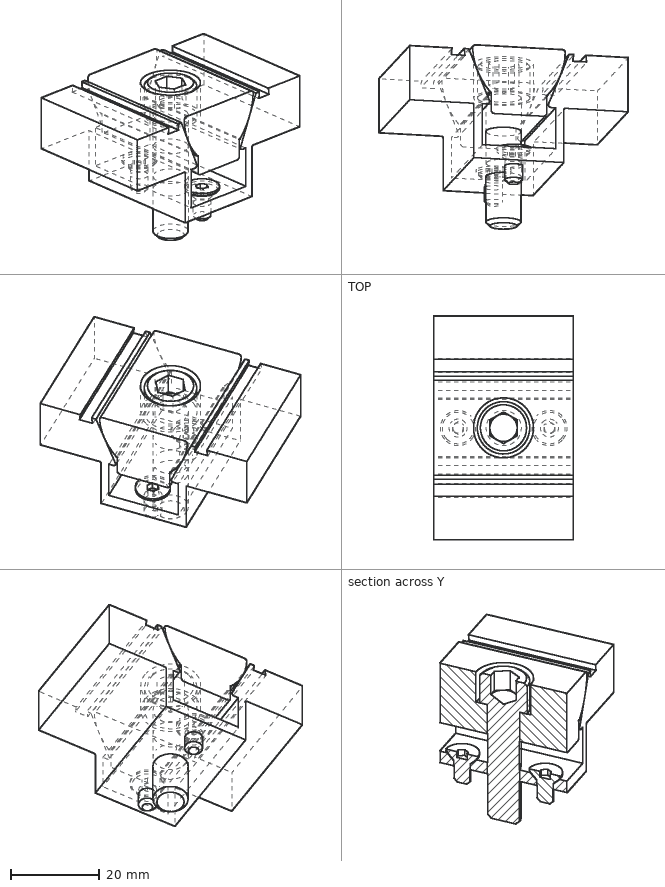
import cadquery as cq
import math

length = 31.75
base_width = 50.8
base_top = 25.4

jaw_bottom = base_top / 2
channel_half_width = 10.45
channel_wall = 1.95
floor_thickness = 3.15
outer_corner_radius = 0.35
jaw_angle = math.radians(22)
jaw_mouth_half_width = 11.7
jaw_tip_radius = 0.6
slot_inner = 12.75
slot_outer = 15.55
slot_undercut = 0.2
slot_depth = 1.6

wedge_top = 26.4
wedge_bottom = 10.55
flank_radius = 16.25
flank_contact_height = 20.3
flank_end_half_width = 6.7
stem_half_width = 6.45
ledge_height = 15.5
wedge_edge_radius = 0.75
counterbore_diameter = 13.6

screw_bottom = -11.55
screw_diameter = 8.0
screw_tip_chamfer = 0.9
head_diameter = 11.9
head_height = 8.0
head_chamfer = 0.7
socket_flats = 6.2
socket_depth = 5.1
drill_point_half_angle = math.radians(60)

fixing_offset = 10.35
fixing_diameter = 4.05
fixing_bottom = -4.05
fixing_tip_chamfer = 0.85
fixing_head_diameter = 8.0
fixing_head_top = 4.05
fixing_rim_height = 0.5
fixing_socket_flats = 2.5
fixing_socket_depth = 1.5


def jaw_face_y(z):
    """Half width of the opening between the sloping jaw faces at height z."""
    return jaw_mouth_half_width - (base_top - z) * math.tan(jaw_angle)


def extrude_along_x(outline):
    """Extrude a closed (y, z) outline over the full length, centred on X = 0."""
    return outline.extrude(length / 2, both=True)


def edges_at(body, y, z):
    """Select the long edges through (+-y, z)."""
    reach = 0.05
    selector = None
    for side in (-1, 1):
        low = (-length, side * y - reach, z - reach)
        high = (length, side * y + reach, z + reach)
        box = cq.selectors.BoxSelector(low, high, boundingbox=False)
        selector = box if selector is None else selector + box
    return body.edges("|X").edges(selector)


def fixing_positions():
    return [(-fixing_offset, 0), (fixing_offset, 0)]


def upright_cylinder(diameter, bottom, top):
    """Cylinder on the Z axis between two heights."""
    return cq.Workplane("XY").workplane(offset=bottom).circle(diameter / 2).extrude(top - bottom)


def hex_socket(flats, top, depth):
    """Hexagonal prism with two corners pointing along Y."""
    across_corners = flats / math.cos(math.pi / 6)
    return (
        cq.Workplane("XY")
        .workplane(offset=top - depth)
        .transformed(rotate=(0, 0, 90))
        .polygon(6, across_corners)
        .extrude(depth)
    )


def make_base():
    inner = channel_half_width - channel_wall
    half = [
        (channel_half_width, 0),
        (channel_half_width, jaw_bottom),
        (base_width / 2, jaw_bottom),
        (base_width / 2, base_top),
        (slot_outer, base_top),
        (slot_outer + slot_undercut, base_top - slot_depth),
        (slot_inner - slot_undercut, base_top - slot_depth),
        (slot_inner, base_top),
        (jaw_mouth_half_width, base_top),
        (jaw_face_y(jaw_bottom), jaw_bottom),
        (inner, jaw_bottom),
        (inner, floor_thickness),
    ]
    mirrored = [(-y, z) for y, z in reversed(half)]
    base = extrude_along_x(cq.Workplane("YZ").polyline(half + mirrored).close())
    base = edges_at(base, jaw_face_y(jaw_bottom), jaw_bottom).fillet(jaw_tip_radius)
    base = edges_at(base, channel_half_width, jaw_bottom).fillet(outer_corner_radius)
    base = base.cut(upright_cylinder(screw_diameter, 0, floor_thickness))
    for x, y in fixing_positions():
        base = base.cut(fixing_profile().translate((x, y, 0)))
    return base


def make_wedge():
    centre_y = jaw_face_y(flank_contact_height) - flank_radius * math.cos(jaw_angle)
    centre_z = flank_contact_height + flank_radius * math.sin(jaw_angle)
    top_half_width = centre_y + math.sqrt(flank_radius**2 - (wedge_top - centre_z) ** 2)
    flank_end_z = centre_z - math.sqrt(flank_radius**2 - (flank_end_half_width - centre_y) ** 2)
    contact_y = jaw_face_y(flank_contact_height)

    outline = (
        cq.Workplane("YZ")
        .moveTo(-stem_half_width, wedge_bottom)
        .lineTo(stem_half_width, wedge_bottom)
        .lineTo(stem_half_width, ledge_height)
        .lineTo(flank_end_half_width, ledge_height)
        .lineTo(flank_end_half_width, flank_end_z)
        .threePointArc((contact_y, flank_contact_height), (top_half_width, wedge_top))
        .lineTo(-top_half_width, wedge_top)
        .threePointArc((-contact_y, flank_contact_height), (-flank_end_half_width, flank_end_z))
        .lineTo(-flank_end_half_width, ledge_height)
        .lineTo(-stem_half_width, ledge_height)
        .close()
    )
    wedge = extrude_along_x(outline)
    wedge = edges_at(wedge, top_half_width, wedge_top).fillet(wedge_edge_radius)
    wedge = edges_at(wedge, stem_half_width, wedge_bottom).fillet(wedge_edge_radius)
    counterbore = upright_cylinder(counterbore_diameter, wedge_top - head_height, wedge_top)
    return wedge.cut(counterbore).cut(upright_cylinder(screw_diameter, wedge_bottom, wedge_top))


def make_clamp_screw():
    shank = upright_cylinder(screw_diameter, screw_bottom, wedge_top - head_height)
    shank = shank.faces("<Z").chamfer(screw_tip_chamfer)
    head = upright_cylinder(head_diameter, wedge_top - head_height, wedge_top)
    head = head.faces(">Z").chamfer(head_chamfer)
    socket_bottom = wedge_top - socket_depth
    drill_radius = socket_flats / 2
    drill_point = cq.Workplane(
        cq.Solid.makeCone(
            drill_radius,
            0,
            drill_radius / math.tan(drill_point_half_angle),
            pnt=cq.Vector(0, 0, socket_bottom),
            dir=cq.Vector(0, 0, -1),
        )
    )
    socket = hex_socket(socket_flats, wedge_top, socket_depth)
    return shank.union(head).cut(socket).cut(drill_point)


def fixing_profile():
    """Solid of revolution of a fixing screw, without its socket."""
    shank_radius = fixing_diameter / 2
    head_radius = fixing_head_diameter / 2
    rim_bottom = fixing_head_top - fixing_rim_height
    cone_bottom = rim_bottom - (head_radius - shank_radius)
    return (
        cq.Workplane("XZ")
        .moveTo(0, fixing_bottom)
        .lineTo(shank_radius - fixing_tip_chamfer, fixing_bottom)
        .lineTo(shank_radius, fixing_bottom + fixing_tip_chamfer)
        .lineTo(shank_radius, cone_bottom)
        .lineTo(head_radius, rim_bottom)
        .lineTo(head_radius, fixing_head_top)
        .lineTo(0, fixing_head_top)
        .close()
        .revolve(360, (0, 0, 0), (0, 1, 0))
    )


def make_fixing_screw(x, y):
    socket = hex_socket(fixing_socket_flats, fixing_head_top, fixing_socket_depth)
    return fixing_profile().cut(socket).translate((x, y, 0))


base = make_base()
wedge = make_wedge()
clamp_screw = make_clamp_screw()
fixing_screws = [make_fixing_screw(x, y) for x, y in fixing_positions()]

result = cq.Compound.makeCompound(
    [base.val(), wedge.val(), clamp_screw.val(), *[screw.val() for screw in fixing_screws]]
)